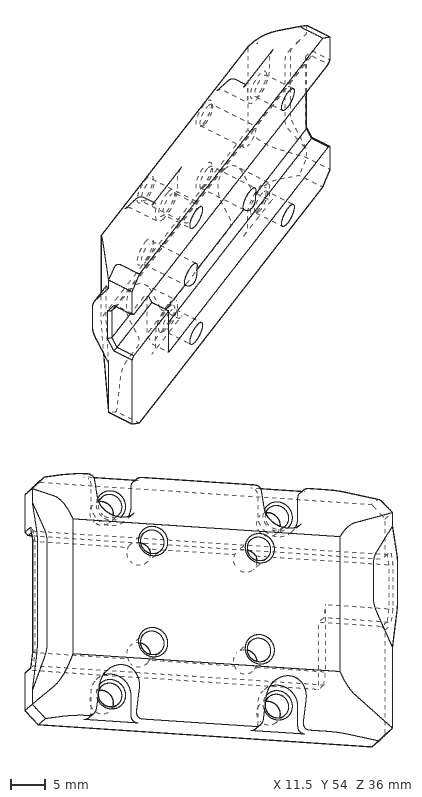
import cadquery as cq


length = 54.0
width = 36.0
height = 11.5
half_length = length / 2
half_width = width / 2
corner_chamfer = 2.0

end_height = 4.0
side_bevel_run = 8.0
side_height = 7.5
near_end_run = 10.0
far_end_run = 4.0
front_center_y = (near_end_run - far_end_run) / 2

near_facet_length = 9.25
near_facet_height = 3.9
near_ridge_radius = 8.0
far_facet_length = 5.5
far_facet_height = 4.0
far_ridge_radius = 6.0

edge_radius = 1.0

hole_diameter = 3.5
hole_chamfer = 0.45
front_hole_spacing_y = 16.0
front_hole_spacing_z = 15.0
slot_width = 6.0
slot_floor = 5.0
slot_spacing_y = 25.0
slot_spacing_z = 28.0
slot_rows_y = [front_center_y + k * slot_spacing_y / 2 for k in (1, -1)]

channel_height = 3.7
channel_wall_height = 2.85
roof_slope = 0.5
mouth_chamfer = 0.5
arch_height = 6.75
arch_radius = 4.75
near_channel_width = 10.0
near_channel_z = near_channel_width / 2
near_channel_length = near_end_run
near_arch_flat = 7.0
far_channel_width = 20.0
far_channel_z = 0.0
far_arch_flat = near_arch_flat + far_channel_width - near_channel_width

TOLERANCE = 0.005
BIG = 2 * length


def point(y, z, h):
    """Position of a (Y, Z, height) point."""
    return cq.Vector(-h, y, z)


def slice_off(body, a, b, c):
    """Remove everything in front of the plane through three points."""
    normal = (b - a).cross(c - a)
    if normal.x > 0:
        normal = -normal
    plane = cq.Plane(origin=a.toTuple(), normal=normal.toTuple())
    return body.cut(cq.Workplane(plane).rect(BIG, BIG).extrude(BIG))


def pick_edges(body, condition):
    """Select the edges of the body that meet a condition."""
    return body.newObject([e for e in body.edges().vals() if condition(e)])


def plate():
    block = cq.Workplane("XY").box(height, length, width).translate((-height / 2, 0, 0))
    return block.edges("|X").chamfer(corner_chamfer)


def bevel_side(body, side):
    z_edge = side * half_width
    z_front = side * (half_width - side_bevel_run)
    return slice_off(
        body,
        point(0, z_edge, side_height),
        point(length, z_edge, side_height),
        point(0, z_front, height),
    )


def bevel_end(body, end, run):
    y_edge = end * half_length
    return slice_off(
        body,
        point(y_edge, 0, end_height),
        point(y_edge, width, end_height),
        point(y_edge - end * run, 0, height),
    )


def cut_corner_facet(body, end, side, facet_length, facet_height, ridge_radius):
    """Slope one corner down and round the ridge where it meets the side bevel."""
    z_edge = side * half_width
    ridge_start = point(end * (half_length - facet_length), z_edge, side_height)
    body = slice_off(
        body,
        point(end * half_length, side * (half_width - corner_chamfer), end_height),
        point(end * (half_length - corner_chamfer), z_edge, facet_height),
        ridge_start,
    )
    ridge_vertex = cq.Vertex.makeVertex(*ridge_start.toTuple())

    def is_ridge(edge):
        leaves_side_face = abs(edge.Center().z - z_edge) > TOLERANCE
        return leaves_side_face and edge.distance(ridge_vertex) < TOLERANCE

    return pick_edges(body, is_ridge).fillet(ridge_radius)


def arch(end, run, flat_width, center_z):
    """Raised bridge over a channel mouth, running back until the end bevel covers it."""
    half_flat = flat_width / 2
    half_foot = half_flat + (arch_height - end_height) / roof_slope
    profile = [
        (0, center_z - half_foot),
        (-end_height, center_z - half_foot),
        (-arch_height, center_z - half_flat),
        (-arch_height, center_z + half_flat),
        (-end_height, center_z + half_foot),
        (0, center_z + half_foot),
    ]
    bridge = cq.Workplane("XZ", origin=(0, end * half_length, 0)).polyline(profile).close()
    bridge = bridge.extrude(end * run)
    return bridge.faces("<X").edges("|Y").fillet(arch_radius)


def screw_slot(y, side):
    """Round-ended cutter that opens through the side face."""
    z = side * slot_spacing_z / 2
    depth = height - slot_floor
    seat = cq.Workplane("YZ", origin=(-height, y, z)).circle(slot_width / 2).extrude(depth)
    passage = cq.Workplane("YZ", origin=(-height, y, z + side * slot_width))
    passage = passage.rect(slot_width, 2 * slot_width).extrude(depth)
    return seat.union(passage)


def screw_hole(y, z, seat_height):
    """Through-hole cutter with a chamfered mouth at the given height."""
    radius = hole_diameter / 2
    outer = radius + hole_chamfer
    profile = [
        (0, 0),
        (radius, 0),
        (radius, seat_height - hole_chamfer),
        (outer, seat_height),
        (0, seat_height),
    ]
    cutter = cq.Workplane("XY").polyline(profile).close().revolve(360, (0, 0, 0), (0, 1, 0))
    return cutter.rotate((0, 0, 0), (0, 0, 1), 90).translate((0, y, z))


def channel_section(channel_width, center_z, y, offset=0.0):
    """Wire of the channel outline in the plane at y, grown by an offset."""
    half = channel_width / 2 + offset
    roof = channel_height + offset
    wall_top = channel_wall_height + offset / 2
    half_roof = half - (roof - wall_top) / roof_slope
    outline = [
        (0, center_z - half),
        (-wall_top, center_z - half),
        (-roof, center_z - half_roof),
        (-roof, center_z + half_roof),
        (-wall_top, center_z + half),
        (0, center_z + half),
    ]
    return cq.Wire.makePolygon([cq.Vector(x, y, z) for x, z in outline], close=True)


def channel(end, channel_width, center_z, channel_length):
    """Channel cutter from one end inwards, with a chamfered mouth."""
    y_mouth = end * half_length
    outer = channel_section(channel_width, center_z, y_mouth, mouth_chamfer)
    throat = channel_section(channel_width, center_z, y_mouth - end * mouth_chamfer)
    mouth = channel_section(channel_width, center_z, y_mouth)
    run = cq.Solid.extrudeLinear(mouth, [], cq.Vector(0, -end * channel_length, 0))
    flare = cq.Solid.makeLoft([outer, throat], True)
    return cq.Workplane(run).union(cq.Workplane(flare))


def is_top_rim(edge):
    """True for the edges of the top face along the bevel and the corner facets."""
    center = edge.Center()
    return abs(center.z - half_width) < TOLERANCE and center.x < -slot_floor - TOLERANCE


def on_slot_rim(edge, y):
    """True for the edges where a top slot breaks through the outside of the plate."""
    box = edge.BoundingBox()
    center = edge.Center()
    near_slot = abs(center.y - y) < slot_width / 2 + TOLERANCE
    in_slot_width = near_slot and box.ylen < slot_width + TOLERANCE
    in_slot_height = box.zmin > slot_spacing_z / 2 - slot_width / 2 - edge_radius
    off_floor = center.x < -slot_floor - TOLERANCE
    inside_wall = box.ylen + box.zlen < TOLERANCE and center.z < half_width - TOLERANCE
    return in_slot_width and in_slot_height and off_floor and not inside_wall


def on_bottom_slot_corner(edge, y):
    """True for the two straight edges where a bottom slot meets the bottom face."""
    center = edge.Center()
    box = edge.BoundingBox()
    on_bottom = abs(box.zmin + half_width) + box.zlen < TOLERANCE
    on_wall = abs(abs(center.y - y) - slot_width / 2) < TOLERANCE
    return on_bottom and on_wall and box.ylen < TOLERANCE


def is_rounded(edge):
    """True for every edge that gets the edge radius."""
    on_slot = any(on_slot_rim(edge, y) or on_bottom_slot_corner(edge, y) for y in slot_rows_y)
    return on_slot or is_top_rim(edge)


result = plate()
for side in (1, -1):
    result = bevel_side(result, side)
for side in (1, -1):
    result = cut_corner_facet(result, -1, side, near_facet_length, near_facet_height, near_ridge_radius)
    result = cut_corner_facet(result, 1, side, far_facet_length, far_facet_height, far_ridge_radius)
result = bevel_end(result, -1, near_end_run)
result = bevel_end(result, 1, far_end_run)

for y in slot_rows_y:
    for side in (1, -1):
        result = result.cut(screw_slot(y, side))
result = pick_edges(result, is_rounded).fillet(edge_radius)

result = result.union(arch(-1, near_end_run, near_arch_flat, near_channel_z))
result = result.union(arch(1, far_end_run, far_arch_flat, far_channel_z))
result = result.cut(channel(-1, near_channel_width, near_channel_z, near_channel_length))
result = result.cut(channel(1, far_channel_width, far_channel_z, length - near_channel_length))

for k in (1, -1):
    for side in (1, -1):
        y = front_center_y + k * front_hole_spacing_y / 2
        result = result.cut(screw_hole(y, side * front_hole_spacing_z / 2, height))
for y in slot_rows_y:
    for side in (1, -1):
        result = result.cut(screw_hole(y, side * slot_spacing_z / 2, slot_floor))